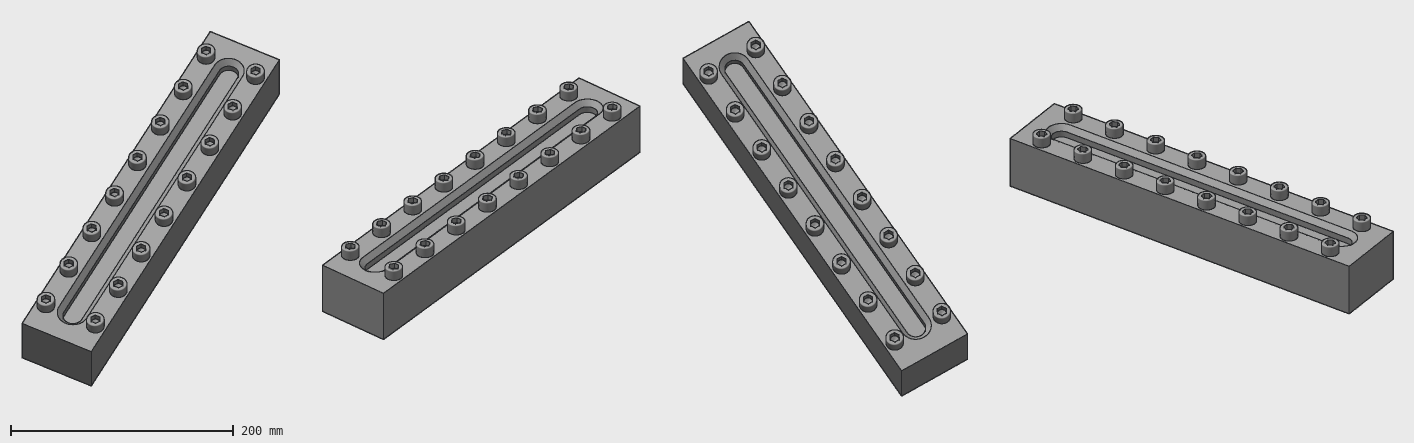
import cadquery as cq
import math

length = 370
width = 70.0
total_height = 61.0

head_diameter = 16.0
head_height = 10.0
head_fillet = 0.9
screws_per_row = 8
screw_row_length = 315.0
screw_pitch = screw_row_length / (screws_per_row - 1)
row_spacing = 50.0
block_height = total_height - head_height

socket_across_flats = 8.0
socket_depth = 5.0
socket_cone_angle = 120

slot_length = 334.0
slot_width = 28.0
floor_width = 18.0
bevel_size = (slot_width - floor_width) / 2
bevel_angle = 45
slot_depth = 11.0


def make_block():
    return cq.Workplane("XY").box(width, length, block_height, centered=(True, True, False))


def make_slot_cutter():
    """Straight-walled slot that opens out through a bevel at the top face."""
    floor_length = slot_length - 2 * bevel_size
    well = (
        cq.Workplane("XY", origin=(0, 0, block_height))
        .slot2D(floor_length, floor_width, 90)
        .extrude(-slot_depth)
    )
    bevel = (
        cq.Workplane("XY", origin=(0, 0, block_height))
        .slot2D(slot_length, slot_width, 90)
        .extrude(-bevel_size, taper=bevel_angle)
    )
    return well.union(bevel)


def make_screw_head():
    """Cylinder with a rounded top edge, standing on z = 0, with its hexagonal socket."""
    across_corners = socket_across_flats / math.cos(math.pi / 6)
    cone_radius = socket_across_flats / 2
    cone_depth = cone_radius / math.tan(math.radians(socket_cone_angle / 2))
    socket_floor = head_height - socket_depth

    head = cq.Workplane("XY").circle(head_diameter / 2).extrude(head_height)
    head = head.faces(">Z").edges().fillet(head_fillet)
    socket = (
        cq.Workplane("XY", origin=(0, 0, socket_floor))
        .polygon(6, across_corners)
        .extrude(socket_depth)
    )
    cone = cq.Solid.makeCone(
        cone_radius,
        0,
        cone_depth,
        pnt=cq.Vector(0, 0, socket_floor),
        dir=cq.Vector(0, 0, -1),
    )
    return head.cut(socket).cut(cq.Workplane(cone))


def make_screw_heads():
    head = make_screw_head().val()
    return (
        cq.Workplane("XY", origin=(0, 0, block_height))
        .rarray(row_spacing, screw_pitch, 2, screws_per_row)
        .eachpoint(lambda place: head.moved(place))
    )


result = make_block().cut(make_slot_cutter()).union(make_screw_heads())